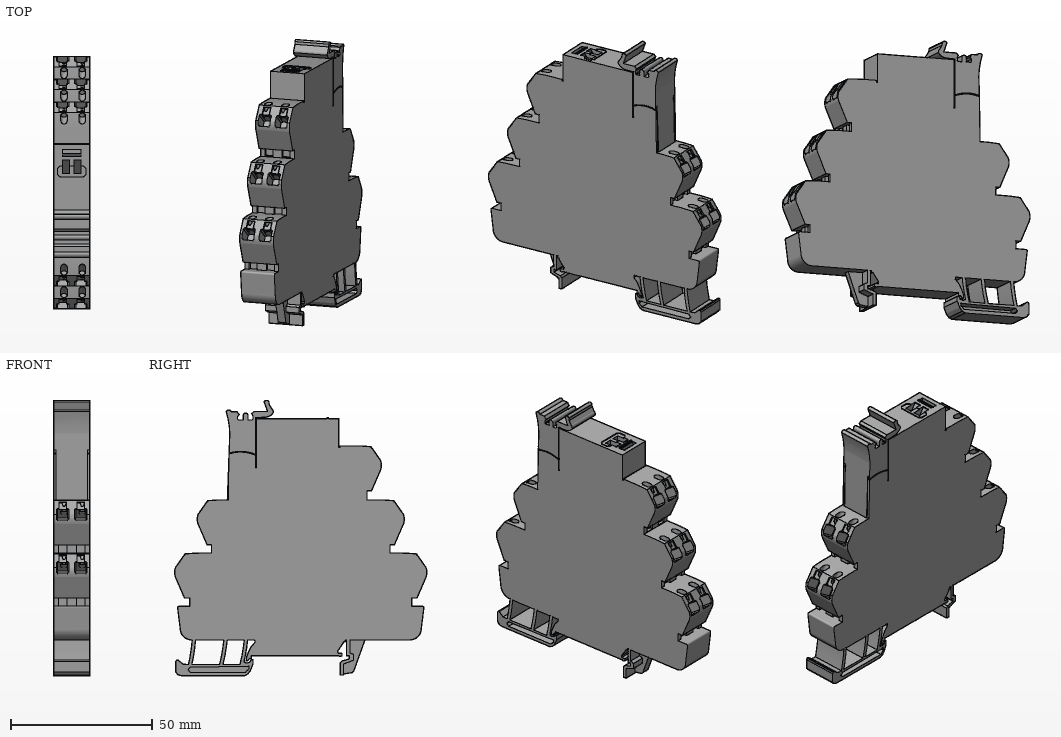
import cadquery as cq
import math

WIDTH = 12.8
SIDE = WIDTH / 2

TIER_REACH = [44.7, 36.7, 28.6]
TIER_FOOT = [27.5, 46.4, 65.5]
PAIRED_TIERS = 2
NECK_REACH = [39.3, 31.6, 23.5]
NECK_HEIGHT = 2.8
TIER_HEIGHT = 16.0
FOOT_INSET = 3.5
NOSE_LOW, NOSE_MID, NOSE_HIGH = 7.4, 9.3, 10.8
NOSE_SAG = 0.3
BROW_INSET, BROW_HEIGHT = 3.7, 15.7
ROOF_DROP = 0.1
CREST_INSET = 8.8

POLE_X = [-3.2, 3.2]
SLOT_X = [-2.7, 3.7]
WIRE_WIDTH, WIRE_DEPTH = 4.5, 5.9
WIRE_START, WIRE_END = -1.8, 2.5
WIRE_CHAMFER = 0.5
RELEASE_WIDTH, RELEASE_DEPTH = 2.6, 0.6
RELEASE_END = 5.4
SLOT_WIDTH, SLOT_LENGTH, SLOT_DEPTH = 2.3, 3.4, 4.9
SLOT_TILT = 25
SLOT_INSET = 6.0
NECK_POCKET_WIDTH, NECK_POCKET_DEPTH = 3.0, 1.2

BASE_REACH, BASE_BOTTOM = 43.7, 12.7
BASE_FILLET = 0.6
BASE_TOP = TIER_FOOT[0] - NECK_HEIGHT
OVERLAP = 0.5

RELAY_FRONT, RELAY_BACK, RELAY_TOP = -15.7, 13.5, 91.2

LEVER_BACK = -16.0
GAP_BOTTOM = 73.8
HOLDER_BOTTOM = TIER_FOOT[1] + TIER_HEIGHT
WALL = 0.9
JOINT = 0.3

PLATE_TOP = 4.1
WEB = 2.9


def plate(points, thickness=WIDTH):
    """Polygon in (Y, Z) with the given thickness, centred on the mid plane."""
    return cq.Workplane("YZ").polyline(points).close().extrude(thickness / 2, both=True)


def box(x0, x1, y0, y1, z0, z1):
    return cq.Workplane("XY").box(x1 - x0, y1 - y0, z1 - z0, centered=False).translate((x0, y0, z0))


def tier_half(reach, foot):
    """Half of a tier on the +Y side, from the centre line to its rounded nose."""
    top = foot + TIER_HEIGHT
    crest = reach - CREST_INSET
    brow = reach - BROW_INSET
    return (
        cq.Workplane("YZ")
        .moveTo(0, foot)
        .lineTo(reach - FOOT_INSET, foot)
        .lineTo(reach - NOSE_SAG, foot + NOSE_LOW)
        .threePointArc((reach, foot + NOSE_MID), (reach - NOSE_SAG, foot + NOSE_HIGH))
        .lineTo(brow, foot + BROW_HEIGHT)
        .threePointArc(((brow + crest) / 2, top - ROOF_DROP), (crest, top))
        .lineTo(0, top)
        .close()
        .extrude(SIDE, both=True)
    )


def base():
    side_low, arc_mid, floor_end = (42.7, 16.8), (41.5, 13.9), (38.6, BASE_BOTTOM)
    return (
        cq.Workplane("YZ")
        .moveTo(-BASE_REACH, BASE_TOP)
        .lineTo(BASE_REACH, BASE_TOP)
        .lineTo(*side_low)
        .threePointArc(arc_mid, floor_end)
        .lineTo(-floor_end[0], BASE_BOTTOM)
        .threePointArc((-arc_mid[0], arc_mid[1]), (-side_low[0], side_low[1]))
        .close()
        .extrude(SIDE, both=True)
        .edges("|X and >Z")
        .fillet(BASE_FILLET)
    )


def housing():
    body = base()
    for level, (reach, foot, neck) in enumerate(zip(TIER_REACH, TIER_FOOT, NECK_REACH)):
        half = tier_half(reach, foot)
        neck_bottom = foot - NECK_HEIGHT - OVERLAP
        if level < PAIRED_TIERS:
            body = body.union(half).union(half.mirror("XZ"))
            body = body.union(box(-SIDE, SIDE, -neck, neck, neck_bottom, foot + OVERLAP))
        else:
            body = body.union(half)
            body = body.union(box(-SIDE, SIDE, 0, neck, neck_bottom, foot + OVERLAP))
    relay_column = box(-SIDE, SIDE, RELAY_FRONT, RELAY_BACK, TIER_FOOT[1], RELAY_TOP)
    return body.union(relay_column)


def terminal_cuts(reach, foot):
    """Openings of one tier on the +Y side."""
    rise = BROW_HEIGHT - NOSE_HIGH
    run = BROW_INSET - NOSE_SAG
    out_y = rise / math.hypot(rise, run)
    out_z = run / math.hypot(rise, run)
    lower_edge = (0, reach - NOSE_SAG, foot + NOSE_HIGH)
    face = cq.Plane(origin=lower_edge, xDir=(-1, 0, 0), normal=(0, out_y, out_z))
    wire = (
        cq.Workplane(face)
        .pushPoints([(-x, (WIRE_START + WIRE_END) / 2) for x in POLE_X])
        .rect(WIRE_WIDTH, WIRE_END - WIRE_START)
        .extrude(WIRE_DEPTH, both=True)
        .edges("|(0, %f, %f)" % (out_y, out_z))
        .chamfer(WIRE_CHAMFER)
    )
    release = (
        cq.Workplane(face)
        .pushPoints([(-x, (WIRE_END + RELEASE_END) / 2) for x in POLE_X])
        .rect(RELEASE_WIDTH, RELEASE_END - WIRE_END)
        .extrude(RELEASE_DEPTH, both=True)
    )
    tilt = math.radians(SLOT_TILT)
    mouth = cq.Plane(
        origin=(0, reach - SLOT_INSET, foot + TIER_HEIGHT),
        xDir=(1, 0, 0),
        normal=(0, -math.sin(tilt), math.cos(tilt)),
    )
    slots = (
        cq.Workplane(mouth)
        .pushPoints([(x, 0) for x in SLOT_X])
        .slot2D(SLOT_LENGTH, SLOT_WIDTH, 90)
        .extrude(SLOT_DEPTH, both=True)
    )
    return [wire, release, slots]


def neck_pockets(neck, foot):
    """Two pockets in the +Y face of the neck below a tier."""
    return (
        cq.Workplane("XY", origin=(0, neck - NECK_POCKET_DEPTH / 2, foot - NECK_HEIGHT / 2))
        .pushPoints([(x, 0) for x in POLE_X])
        .box(NECK_POCKET_WIDTH, NECK_POCKET_DEPTH, NECK_HEIGHT)
    )


def cut_terminals(body):
    for level, (reach, foot, neck) in enumerate(zip(TIER_REACH, TIER_FOOT, NECK_REACH)):
        for cutter in terminal_cuts(reach, foot) + [neck_pockets(neck, foot)]:
            body = body.cut(cutter)
            if level < PAIRED_TIERS:
                body = body.cut(cutter.mirror("XZ"))
    return body


def relay_details(body):
    """Status window, two wells beside a tongue, and the groove behind the relay."""
    half = 3.3
    rim_width, rim_front, rim_back, rim_chamfer = 10.0, 2.0, 6.0, 0.9
    rim_depth, slot_depth, well_depth = 0.3, 1.5, 6.8
    tongue_width, tongue_end = 1.5, 8.6
    well_front, well_back = 3.2, 8.0
    lip_front, lip_back, lip_height = 9.3, 9.9, 0.3
    slot_front, slot_back = 10.3, 11.7
    groove_width, groove_bottom = 0.4, 80.9
    rim = (
        cq.Workplane("XY", origin=(0, (rim_front + rim_back) / 2, RELAY_TOP - rim_depth))
        .rect(rim_width, rim_back - rim_front)
        .extrude(rim_depth)
        .edges("|Z")
        .chamfer(rim_chamfer)
    )
    tongue = (
        cq.Workplane("XY", origin=(0, (well_front + tongue_end) / 2, RELAY_TOP - well_depth))
        .slot2D(tongue_end - well_front, tongue_width, 90)
        .extrude(well_depth)
        .union(box(-tongue_width / 2, tongue_width / 2, well_front, well_back - tongue_width / 2,
                   RELAY_TOP - well_depth, RELAY_TOP))
    )
    well = plate([
        (well_front, RELAY_TOP - well_depth), (well_front, RELAY_TOP),
        (well_back, RELAY_TOP), (well_back, RELAY_TOP - rim_depth),
    ], 2 * half).cut(tongue)
    slot = box(-half, half, slot_front, slot_back, RELAY_TOP - slot_depth, RELAY_TOP)
    lip = box(-half, half, lip_front, lip_back, RELAY_TOP - OVERLAP, RELAY_TOP + lip_height)
    back_groove = box(-SIDE, SIDE, RELAY_BACK, RELAY_BACK + groove_width, groove_bottom, RELAY_TOP)
    body = body.cut(back_groove)
    return body.cut(rim).cut(well).cut(slot).union(lip)


def lever():
    """Ejector lever and holder as one outline in (Y, Z)."""
    return (
        cq.Workplane("YZ")
        .moveTo(RELAY_FRONT + OVERLAP, HOLDER_BOTTOM - OVERLAP)
        .lineTo(RELAY_FRONT + OVERLAP, GAP_BOTTOM)
        .lineTo(LEVER_BACK, GAP_BOTTOM)
        .lineTo(LEVER_BACK, 91.5)
        .lineTo(-12.8, 91.5)
        .threePointArc((-10.8, 92.1), (-9.7, 93.3))
        .threePointArc((-9.8, 94.0), (-10.15, 94.5))
        .lineTo(-11.1, 96.0)
        .lineTo(-11.2, 97.0)
        .threePointArc((-12.1, 97.6), (-13.0, 97.0))
        .lineTo(-11.8, 93.7)
        .lineTo(-16.5, 93.7)
        .lineTo(-17.4, 92.9)
        .lineTo(-17.0, 92.0)
        .lineTo(-17.0, 91.0)
        .lineTo(-17.3, 90.7)
        .lineTo(-18.6, 90.7)
        .lineTo(-18.6, 92.4)
        .threePointArc((-19.5, 93.1), (-20.4, 92.4))
        .lineTo(-20.4, 90.7)
        .lineTo(-22.1, 90.7)
        .lineTo(-22.35, 91.0)
        .lineTo(-22.35, 91.8)
        .lineTo(-21.8, 92.5)
        .lineTo(-22.5, 93.6)
        .lineTo(-24.6, 93.6)
        .threePointArc((-25.7, 94.2), (-26.45, 93.6))
        .threePointArc((-25.5, 89.3), (-25.2, 85.7))
        .lineTo(-26.1, HOLDER_BOTTOM - OVERLAP)
        .close()
        .extrude(SIDE, both=True)
    )


def holder_cuts():
    """On each side: a set-back front edge and the curved joint below the lever."""
    strip_top, outside = 80.0, -26.8
    strip = plate([
        (-25.4, strip_top), (-25.7, HOLDER_BOTTOM), (outside, HOLDER_BOTTOM), (outside, strip_top),
    ])
    crown_y, crown_z = -21.0, 79.5
    joint_front, front_z, back_z = -25.9, 78.8, 78.5
    joint = (
        cq.Workplane("YZ")
        .moveTo(LEVER_BACK, back_z)
        .threePointArc((crown_y, crown_z), (joint_front, front_z))
        .lineTo(joint_front, front_z - JOINT)
        .threePointArc((crown_y, crown_z - JOINT), (LEVER_BACK, back_z - JOINT))
        .close()
        .extrude(SIDE, both=True)
    )
    core = SIDE - WALL
    untouched = box(-core, core, outside, 0, HOLDER_BOTTOM, strip_top)
    return strip.union(joint).cut(untouched)


def rail_block():
    """Block sitting on the rail, with the catch lip and the spring tongue."""
    return plate([
        (15.8, BASE_BOTTOM + OVERLAP), (15.8, 12.1), (15.2, 12.0), (14.8, 11.3), (13.1, 8.7), (13.3, 8.1),
        (14.6, 8.0), (14.6, 7.1), (14.0, 6.8), (13.3, 7.1),
        (-17.5, 7.1), (-17.5, 6.1), (-18.2, 6.1), (-18.8, 5.3), (-19.3, 5.3), (-19.2, 6.6),
        (-18.6, 8.2), (-17.6, 10.3), (-16.2, 11.9), (-16.4, BASE_BOTTOM + OVERLAP),
    ])


def fixed_foot():
    """Full-width hooked strip stiffened by a thin web."""
    strip = plate([
        (17.4, BASE_BOTTOM + OVERLAP), (17.4, 8.2), (18.6, 7.6), (18.6, 5.6), (15.2, 4.2), (15.2, 0.3),
        (14.0, 0.3), (14.0, 4.6), (14.5, 5.3), (17.2, 6.1), (17.2, 7.1), (16.2, 7.1),
        (16.2, BASE_BOTTOM + OVERLAP),
    ])
    web = plate([
        (22.9, BASE_BOTTOM + OVERLAP), (18.8, 1.8), (18.2, 1.1), (14.6, 0.6), (14.6, 4.3),
        (17.9, 5.9), (17.9, 7.5), (16.8, 8.2), (16.8, BASE_BOTTOM + OVERLAP),
    ], WEB)
    return strip.union(web)


def spring_leg(top, bottom, thickness):
    """Slanted, slightly bowed leg; top and bottom are the Y of its rear face."""
    bow = 0.2
    roof, floor = BASE_BOTTOM + OVERLAP, PLATE_TOP - OVERLAP
    mid_y, mid_z = (top + bottom) / 2 + bow, (roof + floor) / 2
    return (
        cq.Workplane("YZ")
        .moveTo(top, roof)
        .threePointArc((mid_y, mid_z), (bottom, floor))
        .lineTo(bottom - thickness, floor)
        .threePointArc((mid_y - thickness, mid_z), (top - thickness, roof))
        .close()
        .extrude(SIDE, both=True)
    )


def spring_foot():
    """Snap-in foot: a hollow plate hung on three slanted legs."""
    foot = plate([
        (-16.9, 5.8), (-16.9, PLATE_TOP), (-17.9, 1.8), (-18.8, 0.6), (-20.0, 0),
        (-42.3, 0), (-43.5, 0.4), (-44.3, 1.4), (-44.3, 5.1),
        (-44.0, 5.6), (-43.5, 5.7), (-41.7, 4.2), (-40.6, PLATE_TOP),
        (-21.0, PLATE_TOP), (-20.2, 5.2), (-19.9, 4.8), (-19.0, 4.6), (-18.1, 4.9), (-17.6, 5.8),
    ])
    leg_thickness = 1.3
    for top, bottom in [(-18.7, -20.4), (-26.0, -27.6), (-37.2, -38.65)]:
        foot = foot.union(spring_leg(top, bottom, leg_thickness))
    hollow_outline = [
        (-18.3, 3.4), (-21.1, 3.3), (-39.1, 3.1), (-39.9, 2.1), (-39.1, 1.3), (-19.6, 1.3), (-18.3, 2.5),
    ]
    hollow = plate(hollow_outline).cut(plate(hollow_outline, WEB))
    return foot.cut(hollow)


result = cut_terminals(housing())
result = relay_details(result)
result = result.union(lever()).cut(holder_cuts())
result = result.union(rail_block()).union(fixed_foot()).union(spring_foot())